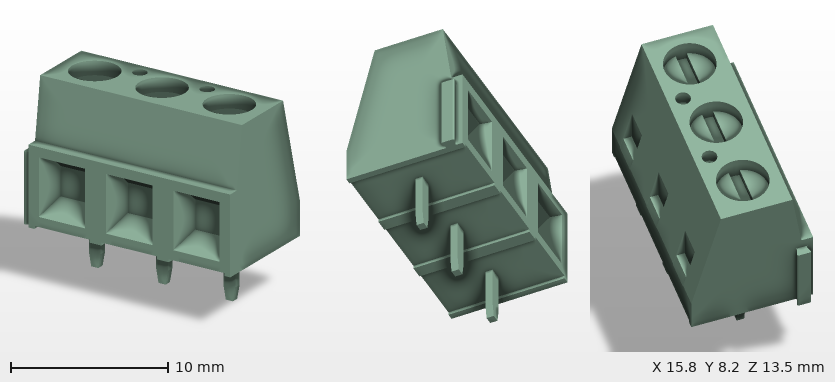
import cadquery as cq
import math


overall_length = 15.84
poles = 3
pitch = 5.08
body_length = poles * pitch
body_depth = 8.2
body_height = 10.0
ledge_height = 5.7
ledge_depth = 0.79
top_front_y = 1.4
top_back_y = 6.21
back_wall_height = 2.35

foot_height = 0.2
foot_half_width = 0.45

entry_width = 3.5
entry_bottom = 0.9
entry_top = 5.0
entry_end_width = 2.75
entry_end_bottom = 1.71
entry_end_top = 3.8
entry_depth = 2.0
entry_flat_roof_depth = 0.79

screw_diameter = 3.4
screw_y = 3.85
screw_recess = 1.0
slot_width = 0.75
slot_depth = 0.5
small_hole_diameter = 1.0
small_hole_y = 5.2
small_hole_depth = 1.0

notch_width = 1.93
notch_depth = 0.79
notch_ramp_depth = 0.22
notch_ramp_base = 2.22
notch_floor = 3.05

pin_width = 0.9
pin_thickness = 0.5
pin_length = 3.5
pin_tip_width = 0.54
pin_tip_length = 1.0

rail_reach = overall_length - body_length
rail_y = 0.79
rail_height = 5.0
rail_outer_half_width = 0.5
rail_taper_angle = 20
rail_round = 0.1

pole_centers = [(i + 0.5) * pitch for i in range(poles)]
pole_borders = [i * pitch for i in range(1, poles)]


def make_box(x_range, y_range, z_range):
    """Box spanning the given (low, high) range on each axis."""
    sizes = [high - low for low, high in (x_range, y_range, z_range)]
    corner = (x_range[0], y_range[0], z_range[0])
    return cq.Workplane("XY").box(*sizes, centered=False).translate(corner)


def extrude_along_x(points, x_start, length):
    """Prism whose (y, z) outline runs along X."""
    return cq.Workplane("YZ", origin=(x_start, 0, 0)).polyline(points).close().extrude(length)


def make_housing():
    outline = [
        (0, 0),
        (body_depth, 0),
        (body_depth, back_wall_height),
        (top_back_y, body_height),
        (top_front_y, body_height),
        (ledge_depth, ledge_height),
        (0, ledge_height),
    ]
    return extrude_along_x(outline, 0, body_length)


def make_rail():
    """Dovetail strip, rounded at its outer corners."""
    root_half_width = rail_outer_half_width - rail_reach * math.tan(math.radians(rail_taper_angle))
    return (
        cq.Workplane("XY")
        .polyline([
            (0, rail_y - root_half_width),
            (0, rail_y + root_half_width),
            (-rail_reach, rail_y + rail_outer_half_width),
            (-rail_reach, rail_y - rail_outer_half_width),
        ])
        .close()
        .extrude(rail_height)
        .edges("|Z and <X")
        .fillet(rail_round)
    )


def add_rail(housing):
    """Join the rail and round the inner corners where it meets the wall."""
    joined = housing.union(make_rail())
    root_region = cq.selectors.BoxSelector(
        (-rail_round / 2, rail_y - rail_outer_half_width, 0),
        (rail_round / 2, rail_y + rail_outer_half_width, rail_height),
    )
    return joined.edges("|Z").edges(root_region).fillet(rail_round)


def make_underside_gap(x):
    """Clearance between two feet, open at the front and back."""
    half_gap = pitch / 2 - foot_half_width
    return make_box((x - half_gap, x + half_gap), (0, body_depth), (0, foot_height))


def make_wire_entry(x):
    """Funnel tapering on all sides, with its roof level over the first stretch."""
    side = [
        (0, entry_bottom),
        (0, entry_top),
        (entry_flat_roof_depth, entry_top),
        (entry_depth, entry_end_top),
        (entry_depth, entry_end_bottom),
    ]
    half_mouth = entry_width / 2
    half_end = entry_end_width / 2
    plan = [
        (x - half_mouth, 0),
        (x + half_mouth, 0),
        (x + half_end, entry_depth),
        (x - half_end, entry_depth),
    ]
    side_prism = extrude_along_x(side, x - half_mouth, entry_width)
    plan_prism = cq.Workplane("XY").polyline(plan).close().extrude(body_height)
    return side_prism.intersect(plan_prism)


def make_screw_recess(x):
    """Round recess down to the screw head, and the driver slot across the head."""
    head_z = body_height - screw_recess
    center = (x, screw_y, head_z)
    recess = cq.Workplane("XY", origin=center).circle(screw_diameter / 2).extrude(screw_recess)
    slot_bar = cq.Workplane("XY", origin=center).rect(screw_diameter, slot_width).extrude(-slot_depth)
    head = cq.Workplane("XY", origin=center).circle(screw_diameter / 2).extrude(-slot_depth)
    return recess.union(slot_bar.intersect(head))


def make_small_hole(x):
    top = (x, small_hole_y, body_height)
    return cq.Workplane("XY", origin=top).circle(small_hole_diameter / 2).extrude(-small_hole_depth)


def make_back_notch(x):
    """Notch with a level floor and a short steep ramp down to the back wall."""
    outline = [
        (body_depth, notch_ramp_base),
        (body_depth - notch_ramp_depth, notch_floor),
        (body_depth - notch_depth, notch_floor),
        (body_depth - notch_depth, body_height),
        (body_depth, body_height),
    ]
    return extrude_along_x(outline, x - notch_width / 2, notch_width)


def make_pin(x):
    """Flat pin with a tapered tip, starting at the underside of the housing."""
    half_width = pin_width / 2
    half_tip = pin_tip_width / 2
    shoulder_z = pin_tip_length - pin_length
    outline = [
        (x - half_width, foot_height),
        (x + half_width, foot_height),
        (x + half_width, shoulder_z),
        (x + half_tip, -pin_length),
        (x - half_tip, -pin_length),
        (x - half_width, shoulder_z),
    ]
    front_face = cq.Workplane("XZ", origin=(0, (body_depth - pin_thickness) / 2, 0))
    return front_face.polyline(outline).close().extrude(-pin_thickness)


result = add_rail(make_housing())

for pole_x in pole_centers:
    result = result.cut(make_underside_gap(pole_x))
    result = result.cut(make_wire_entry(pole_x))
    result = result.cut(make_screw_recess(pole_x))
    result = result.cut(make_back_notch(pole_x))
    result = result.union(make_pin(pole_x))

for border_x in pole_borders:
    result = result.cut(make_small_hole(border_x))